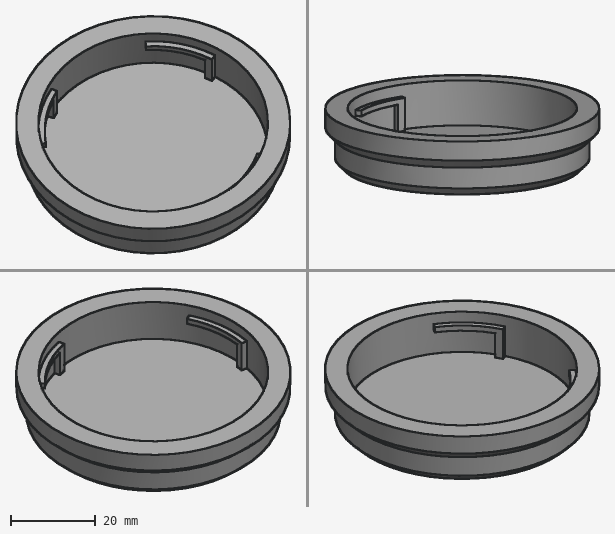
import cadquery as cq
import math

rim_radius = 32.25
body_radius = 30.0
bore_diameter = 54.0
bore_radius = bore_diameter / 2
height = 13.9
rim_height = 4.65
bottom_chamfer = 2.0
floor_thickness = 3.0
rim_underside_z = height - rim_height
rim_slope_height = rim_radius - body_radius

rib_start_angles = (18.2, 128.0, 223.0)
rib_sweep = 36.5
rib_depth = 1.5
rib_thickness = 1.4
rib_top_z = height - 2.9
leg_width = 2.0
leg_sweep = math.degrees(leg_width / bore_radius)
wall_overlap = 0.65


def make_cup():
    profile = [
        (0, 0),
        (body_radius - bottom_chamfer, 0),
        (body_radius, bottom_chamfer),
        (body_radius, rim_underside_z - rim_slope_height),
        (rim_radius, rim_underside_z),
        (rim_radius, height),
        (bore_radius, height),
        (bore_radius, floor_thickness),
        (0, floor_thickness),
    ]
    return cq.Workplane("XZ").polyline(profile).close().revolve(360, (0, 0), (0, 1))


def wall_segment(start_angle, sweep, bottom_z, top_z):
    """Curved bar along the bore wall, counterclockwise from start_angle."""
    inner_radius = bore_radius - rib_depth
    outer_radius = bore_radius + wall_overlap
    section = [
        (inner_radius, bottom_z),
        (outer_radius, bottom_z),
        (outer_radius, top_z),
        (inner_radius, top_z),
    ]
    bar = cq.Workplane("XZ").polyline(section).close().revolve(sweep, (0, 0.65), (0, 0))
    return bar.rotate((0, 0, 0), (0, 0, 1), start_angle + sweep)


def make_rib(start_angle):
    rail = wall_segment(start_angle, rib_sweep, rib_top_z - rib_thickness, rib_top_z)
    leg = wall_segment(start_angle, leg_sweep, floor_thickness, rib_top_z)
    return rail.union(leg)


result = make_cup()
for angle in rib_start_angles:
    result = result.union(make_rib(angle))